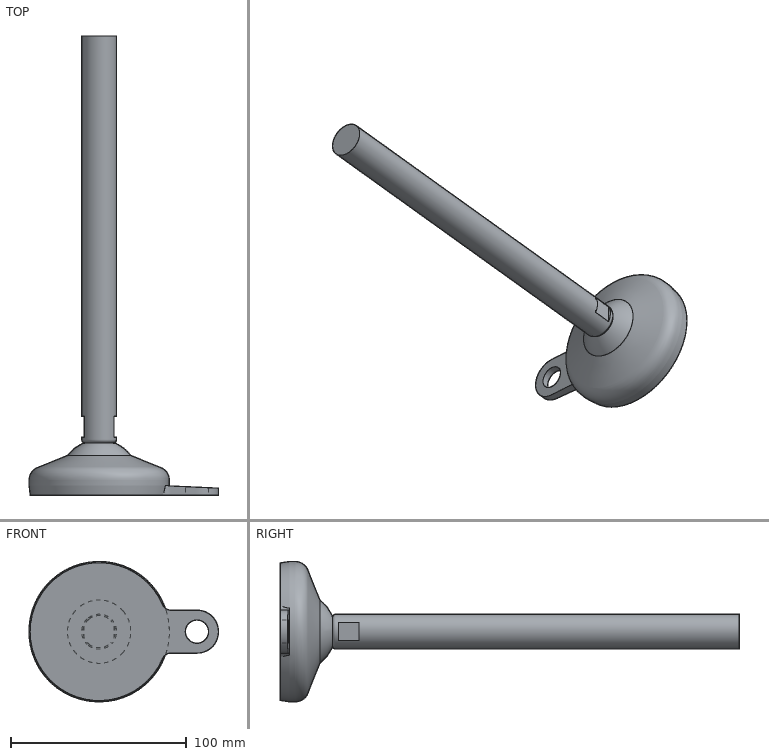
import cadquery as cq
import math

total_length = 261.5

foot_radius = 40.0
sole_radius = 39.2
taper_height = 5.5
rim_top = 8.5
shoulder_radius = 7.8
flank_angle = math.radians(22)
waist_radius = 18.0
waist_height = 22.8
dome_top_radius = 9.2
foot_height = 29.8
dome_radius = 23.5

tab_hole_x = 55.7
tab_hole_radius = 6.5
tab_radius = 12.3
tab_tip_height = 4.2
tab_blend_radius = 5.2

stem_radius = 10.0
end_rounding = 1.8
flats_width = 17.0
flats_start = 33.2
flats_length = 11.8


def point_between(start, end, radius):
    """Middle of the outward-bulging arc from start to end, for a falling profile."""
    dx = end[0] - start[0]
    dy = end[1] - start[1]
    chord = math.hypot(dx, dy)
    rise = radius - math.sqrt(radius**2 - (chord / 2) ** 2)
    return (
        (start[0] + end[0]) / 2 - dy / chord * rise,
        (start[1] + end[1]) / 2 + dx / chord * rise,
    )


def make_foot_disc():
    shoulder = (
        foot_radius - shoulder_radius * (1 - math.sin(flank_angle)),
        rim_top + shoulder_radius * math.cos(flank_angle),
    )
    rim = (foot_radius, rim_top)
    dome_top = (dome_top_radius, foot_height)
    waist = (waist_radius, waist_height)
    return (
        cq.Workplane("XY")
        .moveTo(0, 0)
        .lineTo(0, foot_height)
        .lineTo(*dome_top)
        .threePointArc(point_between(dome_top, waist, dome_radius), waist)
        .lineTo(*shoulder)
        .threePointArc(point_between(shoulder, rim, shoulder_radius), rim)
        .lineTo(foot_radius, taper_height)
        .lineTo(sole_radius, 0)
        .close()
        .revolve(360, (0, 0, 0), (0, 1, 0))
    )


def make_tab():
    blend_z = tab_radius + tab_blend_radius
    center_distance = sole_radius + tab_blend_radius
    blend_x = math.sqrt(center_distance**2 - blend_z**2)
    touch_x = blend_x * sole_radius / center_distance
    touch_z = blend_z * sole_radius / center_distance
    middle_angle = (math.atan2(blend_z, blend_x) + math.pi / 2) / 2
    middle_x = blend_x - tab_blend_radius * math.cos(middle_angle)
    middle_z = blend_z - tab_blend_radius * math.sin(middle_angle)
    tip_x = tab_hole_x + tab_radius

    plate = (
        cq.Workplane("XZ")
        .moveTo(0, 0)
        .lineTo(touch_x, touch_z)
        .threePointArc((middle_x, middle_z), (blend_x, tab_radius))
        .lineTo(tab_hole_x, tab_radius)
        .threePointArc((tip_x, 0), (tab_hole_x, -tab_radius))
        .lineTo(blend_x, -tab_radius)
        .threePointArc((middle_x, -middle_z), (touch_x, -touch_z))
        .close()
        .extrude(-taper_height)
    )
    sloped_block = (
        cq.Workplane("XY")
        .moveTo(0, 0)
        .lineTo(tip_x, 0)
        .lineTo(tip_x, tab_tip_height)
        .lineTo(sole_radius, taper_height)
        .lineTo(0, taper_height)
        .close()
        .extrude(sole_radius, both=True)
    )
    hole = (
        cq.Workplane("XZ")
        .center(tab_hole_x, 0)
        .circle(tab_hole_radius)
        .extrude(-taper_height)
    )
    return plate.intersect(sloped_block).cut(hole)


def make_foot():
    return make_foot_disc().union(make_tab())


def make_stem():
    rod = (
        cq.Workplane("XZ", origin=(0, foot_height, 0))
        .circle(stem_radius)
        .extrude(foot_height - total_length)
        .faces("<Y")
        .fillet(end_rounding)
    )
    for side in (-1, 1):
        cutter_x = side * (flats_width + stem_radius) / 2
        cutter_y = flats_start + flats_length / 2
        cutter = (
            cq.Workplane("XY", origin=(cutter_x, cutter_y, 0))
            .box(stem_radius, flats_length, 2 * stem_radius)
        )
        rod = rod.cut(cutter)
    return rod


foot = make_foot()
stem = make_stem()
result = cq.Compound.makeCompound([foot.val(), stem.val()])